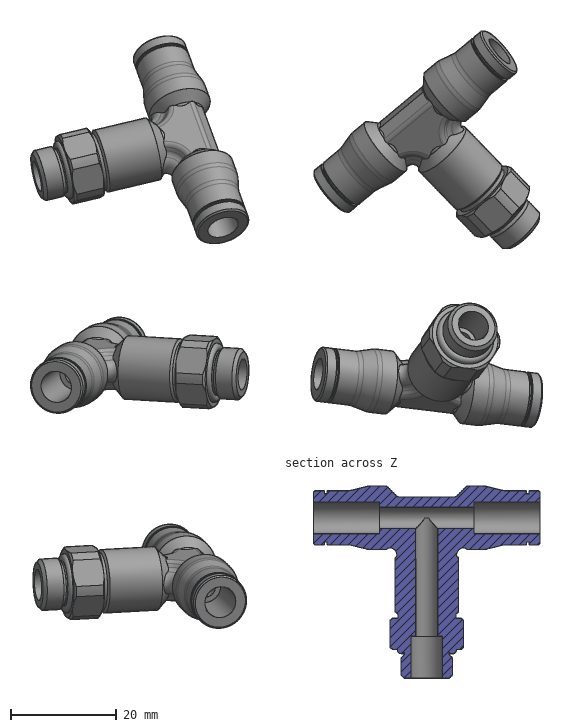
import cadquery as cq
import math


HEAD_R = 6.05
HEAD_START = 7.6
CONE_TIP = 5.8
CONE_TIP_R = HEAD_R - (HEAD_START - CONE_TIP)
NECK_TIP = 5.3

ARM_END = 43.0 / 2
SLEEVE_R = 5.18
HEAD_END = 10.6
TAPER_ANGLE = math.radians(14)
TAPER_ARC_LENGTH = 0.9
SLEEVE_END = 18.95
RELEASE_RING_START = 19.35
RING_GROOVE_R = 4.6
RING_CHAMFER = 0.3
EDGE_BREAK = 0.12
TUBE_R = 3.0
TUBE_DEPTH = 12.5
ARM_PASSAGE_R = 2.0

STEM_END = 36.5 - HEAD_R
BARREL_END = 17.82
BARREL_CHAMFER_LENGTH = 0.4
NECK_R = 5.55
HEX_START = 19.0
HEX_LENGTH = 6.0
HEX_ACROSS_FLATS = 13.0
HEX_CORNER_R = 7.0
HEX_FACE_R = 6.5
HEX_CHAMFER_LENGTH = 0.38
HEX_END = HEX_START + HEX_LENGTH
SEAL_R = 5.65
SEAL_END = 25.8
SEAL_ROUND = SEAL_END - HEX_END
SEAL_FOLD = SEAL_ROUND * math.sqrt(0.5)
THREAD_RELIEF_R = SEAL_R - SEAL_ROUND - SEAL_FOLD
THREAD_RELIEF_GAP = 0.15
THREAD_R = 4.9
THREAD_CHAMFER = 0.65
STEM_BORE_R = 2.95
STEM_BORE_DEPTH = 8.0
STEM_PASSAGE_R = 2.05

BODY_HALF_HEIGHT = 4.0
BODY_REAR = 3.96
BODY_REACH = 7.4
REAR_ROUND_START = 1.46
REAR_ROUND_END = 2.37
REAR_SLOPE = math.radians(52)

SCOOP_CENTRE = 7.0
SCOOP_R = 5.4
WALL_ANGLE = math.radians(56)
RIM_ROUND_R = 1.2
WEB_INNER_R = 1.27
WEB_ROUND_R = 2.2
WEB_EXIT_SLOPE = math.radians(13)



def begin_head():
    """Start a half profile (station along +X, radius along +Y) up to the full head radius."""
    return (
        cq.Workplane("XY")
        .moveTo(NECK_TIP, 0)
        .lineTo(NECK_TIP, BODY_HALF_HEIGHT)
        .lineTo(CONE_TIP, CONE_TIP_R)
        .lineTo(HEAD_START, HEAD_R)
    )


def turn(profile):
    """Close a half profile onto the X axis and revolve it."""
    return profile.close().revolve(360, (0, 0, 0), (1, 0, 0))


def cylinder_along_x(radius, start, end):
    return cq.Workplane("YZ").workplane(offset=start).circle(radius).extrude(end - start)


def onto_stem(shape):
    """Swing a shape built along +X onto the -Y stem axis."""
    return shape.rotate((0, 0, 0), (0, 0, 1), -90)


def make_arm():
    """Right-hand arm: head, S-shaped taper, sleeve, groove and release ring."""
    arc_r = TAPER_ARC_LENGTH / math.sin(TAPER_ANGLE)
    arc_drop = arc_r * (1 - math.cos(TAPER_ANGLE))
    mid_run = arc_r * math.sin(TAPER_ANGLE / 2)
    mid_drop = arc_r * (1 - math.cos(TAPER_ANGLE / 2))
    cone_length = (HEAD_R - SLEEVE_R - 2 * arc_drop) / math.tan(TAPER_ANGLE)
    taper_end = HEAD_END + 2 * TAPER_ARC_LENGTH + cone_length
    profile = (
        begin_head()
        .lineTo(HEAD_END, HEAD_R)
        .threePointArc(
            (HEAD_END + mid_run, HEAD_R - mid_drop),
            (HEAD_END + TAPER_ARC_LENGTH, HEAD_R - arc_drop),
        )
        .lineTo(taper_end - TAPER_ARC_LENGTH, SLEEVE_R + arc_drop)
        .threePointArc((taper_end - mid_run, SLEEVE_R + mid_drop), (taper_end, SLEEVE_R))
        .lineTo(SLEEVE_END - EDGE_BREAK, SLEEVE_R)
        .lineTo(SLEEVE_END, SLEEVE_R - EDGE_BREAK)
        .lineTo(SLEEVE_END, RING_GROOVE_R)
        .lineTo(RELEASE_RING_START, RING_GROOVE_R)
        .lineTo(RELEASE_RING_START, SLEEVE_R - EDGE_BREAK)
        .lineTo(RELEASE_RING_START + EDGE_BREAK, SLEEVE_R)
        .lineTo(ARM_END - RING_CHAMFER, SLEEVE_R)
        .lineTo(ARM_END, SLEEVE_R - RING_CHAMFER)
        .lineTo(ARM_END, 0)
    )
    return turn(profile)


def make_hex():
    """Hexagon with two flats facing +-Z, corners turned down and both ends chamfered."""
    across_corners = HEX_ACROSS_FLATS / math.cos(math.pi / 6)
    prism = (
        cq.Workplane("YZ")
        .workplane(offset=HEX_START)
        .polygon(6, across_corners)
        .extrude(HEX_LENGTH)
    )
    turned_blank = (
        cq.Workplane("XY")
        .moveTo(HEX_START, 0)
        .lineTo(HEX_START, HEX_FACE_R)
        .lineTo(HEX_START + HEX_CHAMFER_LENGTH, HEX_CORNER_R)
        .lineTo(HEX_END - HEX_CHAMFER_LENGTH, HEX_CORNER_R)
        .lineTo(HEX_END, HEX_FACE_R)
        .lineTo(HEX_END, 0)
    )
    return prism.intersect(turn(turned_blank))


def make_stem():
    """Barrel, neck, hexagon, rounded seal ring and threaded end."""
    profile = (
        begin_head()
        .lineTo(BARREL_END, HEAD_R)
        .lineTo(BARREL_END + BARREL_CHAMFER_LENGTH, NECK_R)
        .lineTo(HEX_START, NECK_R)
        .lineTo(HEX_END, SEAL_R)
        .threePointArc(
            (SEAL_END, SEAL_R - SEAL_ROUND),
            (HEX_END + SEAL_FOLD, THREAD_RELIEF_R),
        )
        .lineTo(SEAL_END + THREAD_RELIEF_GAP, THREAD_RELIEF_R)
        .lineTo(SEAL_END + THREAD_RELIEF_GAP + THREAD_R - THREAD_RELIEF_R, THREAD_R)
        .lineTo(STEM_END - THREAD_CHAMFER, THREAD_R)
        .lineTo(STEM_END, THREAD_R - THREAD_CHAMFER)
        .lineTo(STEM_END, 0)
    )
    return onto_stem(turn(profile).union(make_hex()))


def below(point):
    """Mirror a profile point to the other side of mid height."""
    return (point[0], -point[1])


def make_scoop():
    """Cutter for the left inner corner, leaving a rounded rim, steep wall and round web."""
    wall_top = (
        SCOOP_R - RIM_ROUND_R * math.sin(WALL_ANGLE),
        BODY_HALF_HEIGHT - RIM_ROUND_R * (1 - math.cos(WALL_ANGLE)),
    )
    web_centre = WEB_INNER_R + WEB_ROUND_R
    web_end = (
        web_centre - WEB_ROUND_R * math.sin(WEB_EXIT_SLOPE),
        WEB_ROUND_R * math.cos(WEB_EXIT_SLOPE),
    )
    rise = wall_top[1] - web_end[1]
    run = wall_top[0] - web_end[0]
    tangent_length = (
        run * math.sin(WALL_ANGLE) - rise * math.cos(WALL_ANGLE)
    ) / math.sin(WALL_ANGLE - WEB_EXIT_SLOPE)
    wall_foot = (
        web_end[0] + tangent_length * (math.cos(WEB_EXIT_SLOPE) + math.cos(WALL_ANGLE)),
        web_end[1] + tangent_length * (math.sin(WEB_EXIT_SLOPE) + math.sin(WALL_ANGLE)),
    )
    rim_end = (SCOOP_R, BODY_HALF_HEIGHT)
    ring_outer_r = SCOOP_R + 1
    profile = (
        cq.Workplane("XZ")
        .moveTo(ring_outer_r, BODY_HALF_HEIGHT)
        .lineTo(*rim_end)
        .tangentArcPoint(wall_top, relative=False)
        .lineTo(*wall_foot)
        .tangentArcPoint(web_end, relative=False)
        .threePointArc((WEB_INNER_R, 0), below(web_end))
        .tangentArcPoint(below(wall_foot), relative=False)
        .lineTo(*below(wall_top))
        .tangentArcPoint(below(rim_end), relative=False)
        .lineTo(ring_outer_r, -BODY_HALF_HEIGHT)
        .close()
    )
    ring = profile.revolve(360, (0, 0, 0), (0, 1, 0))
    disc = cq.Workplane("XY").circle(SCOOP_R).extrude(BODY_HALF_HEIGHT, both=True)
    return disc.cut(ring).translate((-SCOOP_CENTRE, -SCOOP_CENTRE, 0))


def make_body():
    """Flat-topped centre body with a sloped rear and scooped inner corners."""
    round_r = (REAR_ROUND_END - REAR_ROUND_START) / math.sin(REAR_SLOPE)
    half_slope = REAR_SLOPE / 2
    round_mid = (
        REAR_ROUND_START + round_r * math.sin(half_slope),
        BODY_HALF_HEIGHT - round_r * (1 - math.cos(half_slope)),
    )
    slope_top = BODY_HALF_HEIGHT - round_r * (1 - math.cos(REAR_SLOPE))
    slope_bottom = slope_top - (BODY_REAR - REAR_ROUND_END) * math.tan(REAR_SLOPE)
    upper_half = (
        cq.Workplane("YZ")
        .moveTo(-BODY_REACH, 0)
        .lineTo(-BODY_REACH, BODY_HALF_HEIGHT)
        .lineTo(REAR_ROUND_START, BODY_HALF_HEIGHT)
        .threePointArc(round_mid, (REAR_ROUND_END, slope_top))
        .lineTo(BODY_REAR, slope_bottom)
        .lineTo(BODY_REAR, 0)
        .close()
        .extrude(BODY_REACH, both=True)
    )
    body = upper_half.union(upper_half.mirror("XY"))
    left_scoop = make_scoop()
    return body.cut(left_scoop).cut(left_scoop.mirror("YZ"))


def make_bores():
    """Stepped tube sockets in both arms, stepped bore in the stem, all meeting at the origin."""
    arm_passage = cylinder_along_x(ARM_PASSAGE_R, -ARM_END, ARM_END)
    socket = cylinder_along_x(TUBE_R, ARM_END - TUBE_DEPTH, ARM_END)
    stem_bore = cylinder_along_x(STEM_PASSAGE_R, 0, STEM_END).union(
        cylinder_along_x(STEM_BORE_R, STEM_END - STEM_BORE_DEPTH, STEM_END)
    )
    return [arm_passage, socket, socket.mirror("YZ"), onto_stem(stem_bore)]


arm = make_arm()
result = make_body().union(arm).union(arm.mirror("YZ")).union(make_stem())
for bore in make_bores():
    result = result.cut(bore)